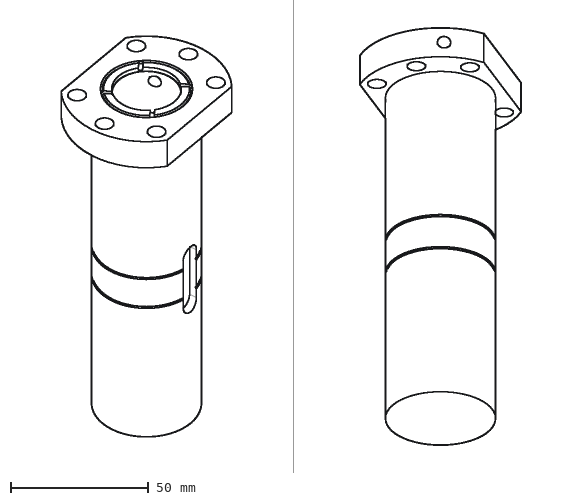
import cadquery as cq
import math

total_length = 145.0
body_diameter = 40.0
flange_diameter = 62.0
flange_width = 48.0
flange_thickness = 12.0
body_length = total_length - flange_thickness

bolt_circle_diameter = 50.9
bolt_hole_diameter = 6.7
bolt_angles = (45, 90, 135, 225, 270, 315)
oil_hole_diameter = 4.8
oil_hole_angle = 112.5

bore_diameter = 25.0
mouth_diameter = 25.2
mouth_depth = 1.7
floor_thickness = 7.2

ring_groove_outer_diameter = 33.5
ring_groove_inner_diameter = 31.2
ring_groove_depth = 0.6
notch_count = 4
notch_width = 1.6
notch_depth = 1.3
notch_skew = 12.0

joint_spacing = 13.3
joint_groove_width = 0.9
joint_groove_depth = 0.5
keyway_length = 30.0
keyway_width = 8.0
keyway_depth = 3.5


def make_blank():
    """Round body with a flange cut flat on both X sides."""
    body = cq.Workplane("XY").circle(body_diameter / 2).extrude(body_length)
    flange_plane = cq.Workplane("XY", origin=(0, 0, body_length))
    flange = flange_plane.circle(flange_diameter / 2).extrude(flange_thickness)
    flats = cq.Workplane("XY").rect(flange_width, flange_diameter).extrude(total_length)
    return body.union(flange.intersect(flats))


def make_bore():
    """Bore with a slightly wider mouth."""
    bore = cq.Workplane("XY", origin=(0, 0, floor_thickness)).circle(bore_diameter / 2)
    mouth = cq.Workplane("XY", origin=(0, 0, total_length - mouth_depth)).circle(mouth_diameter / 2)
    return bore.extrude(total_length - floor_thickness).union(mouth.extrude(mouth_depth))


def make_bolt_holes():
    radius = bolt_circle_diameter / 2
    centers = []
    for angle in bolt_angles:
        turn = math.radians(angle)
        centers.append((radius * math.cos(turn), radius * math.sin(turn)))
    plane = cq.Workplane("XY", origin=(0, 0, body_length))
    return plane.pushPoints(centers).circle(bolt_hole_diameter / 2).extrude(flange_thickness)


def make_oil_hole():
    """Radial hole at mid-thickness of the flange, running into the bore."""
    height = body_length + flange_thickness / 2
    hole = cq.Workplane("YZ", origin=(0, 0, height)).circle(oil_hole_diameter / 2).extrude(flange_diameter)
    return hole.rotate((0, 0, 0), (0, 0, 1), oil_hole_angle)


def make_ring_groove():
    """V-shaped groove around the wiper ring."""
    outer = ring_groove_outer_diameter / 2
    inner = ring_groove_inner_diameter / 2
    profile = (
        cq.Workplane("XZ")
        .moveTo(inner, total_length)
        .lineTo((inner + outer) / 2, total_length - ring_groove_depth)
        .lineTo(outer, total_length)
        .close()
    )
    return profile.revolve(360, (0, 0, 0), (0, 1, 0))


def make_notch(angle):
    """Round-bottomed notch across the wiper ring, skewed from the radial direction."""
    inner = bore_diameter / 2
    outer = (ring_groove_inner_diameter + ring_groove_outer_diameter) / 4
    middle = (inner + outer) / 2
    length = outer - inner + notch_width / 2
    bottom_radius = notch_width / 2
    straight_depth = notch_depth - bottom_radius
    notch = (
        cq.Workplane("YZ", origin=(-length / 2, 0, total_length))
        .moveTo(-bottom_radius, 0)
        .lineTo(-bottom_radius, -straight_depth)
        .threePointArc((0, -notch_depth), (bottom_radius, -straight_depth))
        .lineTo(bottom_radius, 0)
        .close()
        .extrude(length)
    )
    skewed = notch.rotate((0, 0, 0), (0, 0, 1), -notch_skew).translate((middle, 0, 0))
    return skewed.rotate((0, 0, 0), (0, 0, 1), angle)


def make_joint_groove(center_height):
    """Shallow V-shaped groove around the body."""
    surface = body_diameter / 2
    profile = (
        cq.Workplane("XZ")
        .moveTo(surface, center_height - joint_groove_width / 2)
        .lineTo(surface - joint_groove_depth, center_height)
        .lineTo(surface, center_height + joint_groove_width / 2)
        .close()
    )
    return profile.revolve(360, (0, 0, 0), (0, 1, 0))


def make_keyway():
    """Round-ended keyway in the +X side of the body."""
    plane = cq.Workplane("YZ", origin=(body_diameter / 2 - keyway_depth, 0, body_length / 2))
    return plane.slot2D(keyway_length, keyway_width, 90).extrude(keyway_depth)


result = make_blank()
result = result.cut(make_bore())
result = result.cut(make_bolt_holes())
result = result.cut(make_oil_hole())
result = result.cut(make_ring_groove())
for index in range(notch_count):
    result = result.cut(make_notch(45 + index * 360 / notch_count))
for side in (-1, 1):
    result = result.cut(make_joint_groove(body_length / 2 + side * joint_spacing / 2))
result = result.cut(make_keyway())